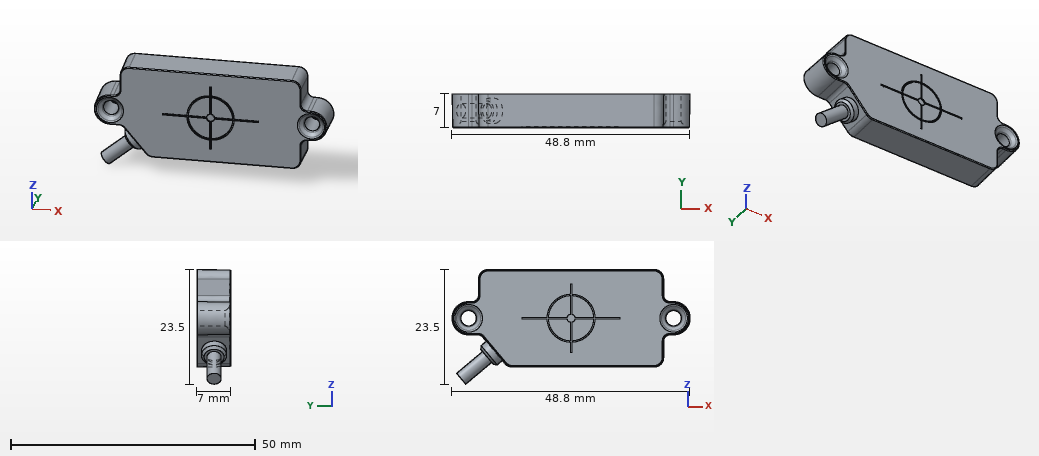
import cadquery as cq
import math

overall_length = 48.8
thickness = 7.0
body_width = 37.95
body_height = 20.0
corner_radius = 2.0
ear_radius = 3.4
ear_root_radius = 1.25
edge_chamfer = 0.2
draft_angle = 1.0

slant_angle = 50.0
slant_start_x = -18.5
slant_bottom_radius = 2.0

hole_radius = 1.55
mouth_radius = 2.85
mouth_depth = 0.2
countersink_radius = 2.5
throat_radius = 1.75
countersink_depth = 0.95
throat_length = 0.35

mark_depth = 0.3
mark_line_width = 0.3
mark_length = 20.0
mark_height = 13.95
ring_outer_radius = 4.95
center_dot_radius = 0.85

cable_radius = 1.45
cable_bottom_z = -13.5
collar_radius = 2.6
collar_length = 1.9
collar_chamfer = 0.55
collar_along_slant = 4.3
embed_depth = 1.0

front_y = -thickness / 2
half_width = body_width / 2
half_height = body_height / 2
ear_x = overall_length / 2 - ear_radius

slant = math.radians(slant_angle)
slant_drop = half_height - ear_radius
slant_end_x = slant_start_x + slant_drop / math.tan(slant)


def front_plane(y):
    """Plane facing -Y with local x along X and local y along Z."""
    return cq.Workplane(cq.Plane(origin=(0, y, 0), xDir=(1, 0, 0), normal=(0, -1, 0)))


def round_edges(solid, points, radius):
    """Round the Y-parallel edges that pass through the given X-Z points."""
    for x, z in points:
        solid = solid.edges(cq.selectors.NearestToPointSelector((x, 0, z))).fillet(radius)
    return solid


def make_housing():
    block = (
        front_plane(thickness / 2)
        .moveTo(-ear_x, ear_radius)
        .lineTo(-half_width, ear_radius)
        .lineTo(-half_width, half_height)
        .lineTo(half_width, half_height)
        .lineTo(half_width, ear_radius)
        .lineTo(ear_x, ear_radius)
        .threePointArc((ear_x + ear_radius, 0), (ear_x, -ear_radius))
        .lineTo(half_width, -ear_radius)
        .lineTo(half_width, -half_height)
        .lineTo(slant_end_x, -half_height)
        .lineTo(slant_start_x, -ear_radius)
        .lineTo(-ear_x, -ear_radius)
        .threePointArc((-ear_x - ear_radius, 0), (-ear_x, ear_radius))
        .close()
        .extrude(thickness)
    )
    corners = [(-half_width, half_height), (half_width, half_height), (half_width, -half_height)]
    ear_roots = [(-half_width, ear_radius), (half_width, ear_radius), (half_width, -ear_radius)]
    block = round_edges(block, corners, corner_radius)
    block = round_edges(block, ear_roots, ear_root_radius)
    block = round_edges(block, [(slant_start_x, -ear_radius)], ear_root_radius)
    block = round_edges(block, [(slant_end_x, -half_height)], slant_bottom_radius)
    outline = block.faces(">Y").wires().val()
    drafted = cq.Solid.extrudeLinear(outline, [], cq.Vector(0, -thickness, 0), draft_angle)
    return cq.Workplane(drafted).faces("<Y").chamfer(edge_chamfer)


def make_hole_cutter(x):
    """Stepped hole turned about an axis along Y, from the sensing face through the ear."""
    throat_y = front_y + countersink_depth
    return (
        cq.Workplane("XY")
        .moveTo(x, front_y)
        .lineTo(x + mouth_radius, front_y)
        .lineTo(x + countersink_radius, front_y + mouth_depth)
        .lineTo(x + throat_radius, throat_y)
        .lineTo(x + hole_radius, throat_y + throat_length)
        .lineTo(x + hole_radius, thickness / 2)
        .lineTo(x, thickness / 2)
        .close()
        .revolve(360, (x, 0, 0), (x, 1, 0))
    )


def make_target_mark():
    floor = front_plane(front_y + mark_depth)
    ring_inner_radius = ring_outer_radius - mark_line_width
    return (
        floor.rect(mark_length, mark_line_width).extrude(mark_depth)
        .union(floor.rect(mark_line_width, mark_height).extrude(mark_depth))
        .union(floor.circle(ring_outer_radius).circle(ring_inner_radius).extrude(mark_depth))
        .union(floor.circle(center_dot_radius).extrude(mark_depth))
    )


def make_cable():
    """Chamfered collar and round cable leaving the slanted face at a right angle."""
    out_x = -math.sin(slant)
    out_z = -math.cos(slant)
    root_x = slant_start_x + collar_along_slant * math.cos(slant)
    root_z = -ear_radius - collar_along_slant * math.sin(slant)
    cable_length = (root_z - cable_radius * math.sin(slant) - cable_bottom_z) / -out_z
    start = (root_x - embed_depth * out_x, 0, root_z - embed_depth * out_z)
    base = cq.Workplane(cq.Plane(origin=start, xDir=(0, 1, 0), normal=(out_x, 0, out_z)))
    collar = (
        base.circle(collar_radius)
        .extrude(embed_depth + collar_length)
        .faces(cq.selectors.DirectionMinMaxSelector(cq.Vector(out_x, 0, out_z)))
        .chamfer(collar_chamfer)
    )
    return collar.union(base.circle(cable_radius).extrude(embed_depth + cable_length))


result = make_housing().union(make_cable()).cut(make_target_mark())
for hole_x in (-ear_x, ear_x):
    result = result.cut(make_hole_cutter(hole_x))